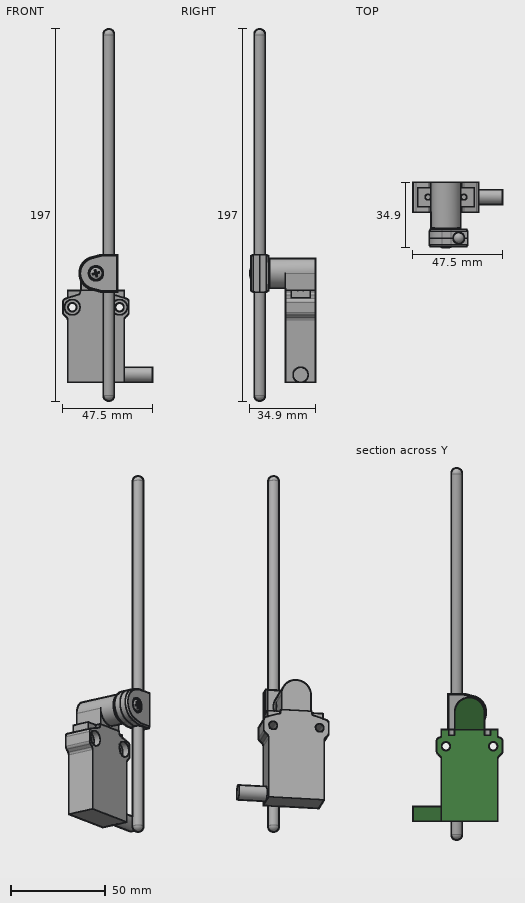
import cadquery as cq
import math


housing_width = 30.0
housing_thickness = 16.0
housing_height = 48.7
back_y = housing_thickness / 2
front_y = -housing_thickness / 2
ear_span = 35.0
ear_bottom_z = 36.3
ear_root_z = 33.8
ear_top_radius = 2.0
ear_bottom_radius = 2.1
ear_root_radius = 1.8
shoulder_half_width = 8.3
shoulder_root_z = 46.7
shoulder_slope = 16.5
shoulder_drop = (ear_span / 2 - shoulder_half_width) * math.tan(math.radians(shoulder_slope))
ear_top_z = shoulder_root_z - shoulder_drop
shoulder_fillet = 1.5
tab_thickness = 10.0

mount_pitch = 25.0
mount_hole_z = 39.75
mount_hole_diameter = 4.4
mount_recess_diameter = 8.2
mount_recess_depth = 4.0

tab_hole_diameter = 3.0
tab_hole_x = 9.5
tab_hole_depth = 3.0

cable_diameter = 8.0
cable_length = 15.0

barrel_diameter = 15.85
axis_z = 57.7
barrel_length = 24.35
barrel_end_y = back_y - barrel_length
neck_diameter = 12.0
neck_length = 0.6

clamp_back_y = barrel_end_y - neck_length
clamp_half_thickness = 4.7
clamp_split_y = clamp_back_y - clamp_half_thickness
clamp_front_y = clamp_split_y - clamp_half_thickness
clamp_radius = 8.9
clamp_reach = 11.6
clamp_half_height = 9.9
clamp_flat_start_x = 2.6
bevel_depth = 1.2
bevel_angle = 30.0

rod_diameter = 6.0
rod_length = 197.0
rod_x = 6.8
rod_bottom_z = -9.93

screw_recess_radius = 3.95
screw_recess_depth = 1.2
screw_head_radius = 3.35
screw_dome_height = 0.9
screw_protrusion = 0.56
screw_shank_diameter = 4.0
screw_engagement = 8.0
cross_span = 3.6
cross_arm_width = 0.6
cross_depth = 0.7
cross_tilt = 15.0
screw_tip_y = clamp_front_y - screw_protrusion
screw_seat_y = clamp_front_y + screw_recess_depth
shank_end_y = clamp_back_y + screw_engagement


def cylinder_along_y(diameter, start_y, end_y, x=0.0, z=axis_z):
    """Cylinder parallel to Y, from start_y towards -Y to end_y."""
    return (
        cq.Workplane("XZ", origin=(x, start_y, z))
        .circle(diameter / 2)
        .extrude(start_y - end_y)
    )


def round_corners(body, x, z, radius):
    """Fillet the two mirrored edges along Y nearest to (+x, z) and (-x, z)."""
    for side in (-1, 1):
        corner = cq.selectors.NearestToPointSelector((side * x, 0, z))
        body = body.edges("|Y").edges(corner).fillet(radius)
    return body


def make_housing():
    """Eared shell with a raised tab on each side of the head."""
    half = housing_width / 2
    ear = ear_span / 2
    right_side = [
        (half, 0),
        (half, ear_root_z),
        (ear, ear_bottom_z),
        (ear, ear_top_z),
        (shoulder_half_width, shoulder_root_z),
        (shoulder_half_width, housing_height),
    ]
    left_side = [(-x, z) for x, z in reversed(right_side)]
    shell = (
        cq.Workplane("XZ", origin=(0, back_y, 0))
        .polyline(right_side + left_side)
        .close()
        .extrude(housing_thickness)
    )

    shell = round_corners(shell, half, ear_root_z, ear_root_radius)
    shell = round_corners(shell, ear, ear_bottom_z, ear_bottom_radius)
    shell = round_corners(shell, ear, ear_top_z, ear_top_radius)
    shell = round_corners(shell, shoulder_half_width, shoulder_root_z, shoulder_fillet)

    tabs = cq.Workplane("XY").rect(housing_width, tab_thickness).extrude(housing_height)
    body = shell.union(tabs)

    for side in (-1, 1):
        hole_x = side * mount_pitch / 2
        body = body.cut(cylinder_along_y(mount_hole_diameter, back_y, front_y, hole_x, mount_hole_z))
        recess_bottom_y = front_y + mount_recess_depth
        body = body.cut(
            cylinder_along_y(mount_recess_diameter, recess_bottom_y, front_y, hole_x, mount_hole_z)
        )
    tab_holes = (
        cq.Workplane("XY", origin=(0, 0, housing_height))
        .pushPoints([(-tab_hole_x, 0), (tab_hole_x, 0)])
        .circle(tab_hole_diameter / 2)
        .extrude(-tab_hole_depth)
    )
    return body.cut(tab_holes)


def make_cable():
    return (
        cq.Workplane("YZ", origin=(housing_width / 2, 0, cable_diameter / 2))
        .circle(cable_diameter / 2)
        .extrude(cable_length)
    )


def make_head():
    block = (
        cq.Workplane("XY", origin=(0, 0, housing_height))
        .rect(barrel_diameter, housing_thickness)
        .extrude(axis_z - housing_height)
    )
    barrel = cylinder_along_y(barrel_diameter, back_y, barrel_end_y)
    neck = cylinder_along_y(neck_diameter, barrel_end_y, clamp_back_y)
    return block.union(barrel).union(neck)


def clamp_outline(plane):
    """D-shaped outline: a round left end, tangent flanks and a square right end."""
    corner_distance = math.hypot(clamp_flat_start_x, clamp_half_height)
    corner_angle = math.atan2(clamp_half_height, clamp_flat_start_x)
    tangent_angle = corner_angle + math.acos(clamp_radius / corner_distance)
    tangent_x = clamp_radius * math.cos(tangent_angle)
    tangent_z = clamp_radius * math.sin(tangent_angle)
    return (
        plane.moveTo(clamp_reach, -clamp_half_height)
        .lineTo(clamp_reach, clamp_half_height)
        .lineTo(clamp_flat_start_x, clamp_half_height)
        .lineTo(tangent_x, tangent_z)
        .threePointArc((-clamp_radius, 0), (tangent_x, -tangent_z))
        .lineTo(clamp_flat_start_x, -clamp_half_height)
        .close()
    )


def make_clamp_blank():
    """Front clamp half before drilling, bevelled around its outer face."""
    straight_depth = clamp_half_thickness - bevel_depth
    bevel_start_y = clamp_split_y - straight_depth
    straight = clamp_outline(cq.Workplane("XZ", origin=(0, clamp_split_y, axis_z)))
    bevel = clamp_outline(cq.Workplane("XZ", origin=(0, bevel_start_y, axis_z)))
    return straight.extrude(straight_depth).union(bevel.extrude(bevel_depth, taper=bevel_angle))


def make_rod():
    """Straight rod with a hemisphere at each end."""
    radius = rod_diameter / 2
    lower_z = rod_bottom_z + radius
    upper_z = rod_bottom_z + rod_length - radius
    rise = radius * math.sin(math.radians(45))
    return (
        cq.Workplane("XZ", origin=(rod_x, clamp_split_y, 0))
        .moveTo(0, lower_z - radius)
        .threePointArc((rise, lower_z - rise), (radius, lower_z))
        .lineTo(radius, upper_z)
        .threePointArc((rise, upper_z + rise), (0, upper_z + radius))
        .close()
        .revolve(360, (0, 0, 0), (0, 1, 0))
    )


def make_screw():
    dome_rim_y = screw_tip_y + screw_dome_height
    dome_radius = (screw_head_radius**2 + screw_dome_height**2) / (2 * screw_dome_height)
    mid_angle = math.asin(screw_head_radius / dome_radius) / 2
    dome_mid = (
        dome_radius * math.sin(mid_angle),
        screw_tip_y + dome_radius * (1 - math.cos(mid_angle)),
    )
    shank_radius = screw_shank_diameter / 2
    screw = (
        cq.Workplane("XY", origin=(0, 0, axis_z))
        .moveTo(0, screw_tip_y)
        .threePointArc(dome_mid, (screw_head_radius, dome_rim_y))
        .lineTo(screw_head_radius, screw_seat_y)
        .lineTo(shank_radius, screw_seat_y)
        .lineTo(shank_radius, shank_end_y)
        .lineTo(0, shank_end_y)
        .close()
        .revolve(360, (0, 0, 0), (0, 1, 0))
    )
    for arm_angle in (cross_tilt, cross_tilt + 90):
        arm = (
            cq.Workplane("XZ", origin=(0, screw_tip_y + cross_depth, axis_z))
            .transformed(rotate=(0, 0, arm_angle))
            .rect(cross_span, cross_arm_width)
            .extrude(cross_depth)
        )
        screw = screw.cut(arm)
    return screw


shank_bore = cylinder_along_y(screw_shank_diameter, shank_end_y, clamp_front_y)
screw_recess = cylinder_along_y(2 * screw_recess_radius, screw_seat_y, clamp_front_y)
rod_bore = (
    cq.Workplane("XY", origin=(rod_x, clamp_split_y, axis_z - clamp_half_height))
    .circle(rod_diameter / 2)
    .extrude(2 * clamp_half_height)
)

housing = make_housing()
cable = make_cable()
head = make_head().cut(shank_bore)
clamp_blank = make_clamp_blank().cut(rod_bore)
clamp_front = clamp_blank.cut(shank_bore).cut(screw_recess)
clamp_back = clamp_blank.mirror("XZ", (0, clamp_split_y, 0)).cut(shank_bore)
rod = make_rod()
screw = make_screw()

result = cq.Compound.makeCompound([
    housing.val(),
    cable.val(),
    head.val(),
    clamp_back.val(),
    clamp_front.val(),
    rod.val(),
    screw.val(),
])